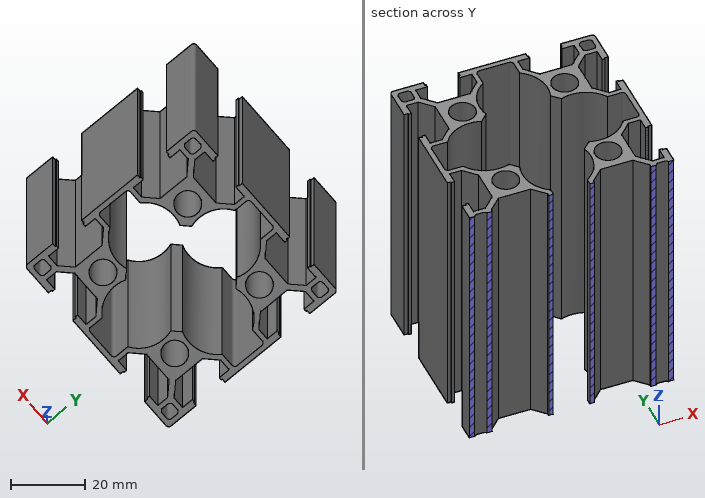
import cadquery as cq
import math

side = 60.0
length = 80.0
corner_radius = 1.0
half_side = side / 2
half_pitch = side / 4

mouth_width = 10.2
neck_width = 9.5
lip_step_depth = 1.1
lip_thickness = 2.0
pocket_width = 16.5
pocket_wall_depth = 5.5
slot_depth = 9.0
taper_run = slot_depth - pocket_wall_depth

outer_wall = 1.5
channel_width = 10.7
channel_radius = 1.0
lobe_radius = 10.0
core_flat_distance = 14.95

bore_diameter = 7.5
hollow_width = 3.8
hollow_radius = 1.0
hollow_center = half_side - outer_wall - hollow_width / 2


def prism(outline):
    return outline.extrude(length)


def make_blank():
    blank = prism(cq.Workplane("XY").rect(side, side))
    return blank.edges("|Z").fillet(corner_radius)


def make_slot(center_x):
    """T-slot cutter opening on the +Y side."""
    half_outline = [
        (mouth_width / 2, 0),
        (mouth_width / 2, lip_step_depth),
        (neck_width / 2, lip_step_depth),
        (neck_width / 2, lip_thickness),
        (pocket_width / 2, lip_thickness),
        (pocket_width / 2, pocket_wall_depth),
        (pocket_width / 2 - taper_run, slot_depth),
    ]
    right = [(center_x + x, half_side - depth) for x, depth in half_outline]
    left = [(center_x - x, half_side - depth) for x, depth in reversed(half_outline)]
    return prism(cq.Workplane("XY").polyline(right + left).close())


def make_lobe():
    """Round lobe of the cavity and the channel that runs from it to the +Y wall."""
    channel_length = half_side - outer_wall - half_pitch
    channel = prism(
        cq.Workplane("XY").center(0, half_pitch + channel_length / 2).rect(channel_width, channel_length)
    )
    channel = channel.edges("|Z and >Y").fillet(channel_radius)
    lobe = prism(cq.Workplane("XY").center(0, half_pitch).circle(lobe_radius))
    return lobe.union(channel)


def make_core():
    """Diamond middle of the cavity, whose sides are the flats between the lobes."""
    reach = core_flat_distance * math.sqrt(2)
    return prism(cq.Workplane("XY").polyline([(reach, 0), (0, reach), (-reach, 0), (0, -reach)]).close())


def make_bores():
    return prism(
        cq.Workplane("XY").rect(2 * half_pitch, 2 * half_pitch, forConstruction=True)
        .vertices().circle(bore_diameter / 2)
    )


def make_corner_hollows():
    hollows = prism(
        cq.Workplane("XY").rect(2 * hollow_center, 2 * hollow_center, forConstruction=True)
        .vertices().rect(hollow_width, hollow_width)
    )
    return hollows.edges("|Z").fillet(hollow_radius)


def turned(cutter, quarter_turns):
    return cutter.rotate((0, 0, 0), (0, 0, 1), 90 * quarter_turns)


result = make_blank().cut(make_core()).cut(make_bores()).cut(make_corner_hollows())
for quarter in range(4):
    result = result.cut(turned(make_lobe(), quarter))
    for slot_x in (-half_pitch, half_pitch):
        result = result.cut(turned(make_slot(slot_x), quarter))